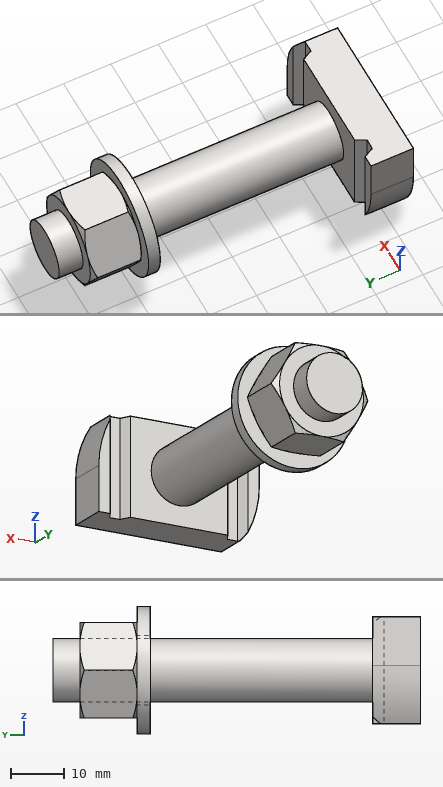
import cadquery as cq
import math

TOTAL_LENGTH = 69.0

HEAD_WIDTH = 34.5
HEAD_HEIGHT = 20.15
HEAD_DEPTH = 9.0
ROUND_START = 0.9
ROUND_CORNER_X = 14.0

GROOVE_OFFSET = 12.6
GROOVE_MOUTH = 4.35
GROOVE_FLOOR = 2.15
GROOVE_DEPTH = 2.1

SHANK_DIAMETER = 12.0
WASHER_DIAMETER = 24.0
WASHER_HOLE_DIAMETER = 13.0
WASHER_THICKNESS = 2.5
NUT_ACROSS_FLATS = 18.0
NUT_HEIGHT = 10.75
HEX_HALF_ANGLE = math.pi / 6
NUT_CHAMFER_ANGLE = 30.0
SHANK_PROTRUSION = 5.05

NUT_START = TOTAL_LENGTH - SHANK_PROTRUSION - NUT_HEIGHT
WASHER_START = NUT_START - WASHER_THICKNESS


def sketch_at(y):
    """Workplane across the bolt axis: local x is X, local y is Z, and the normal is -Y."""
    return cq.Workplane("XZ", origin=(0, y, 0))


def rod(start, length, diameter):
    return sketch_at(start).circle(diameter / 2).extrude(-length)


def head_block():
    """Rectangular head with two opposite rounded corners, alike under a half turn."""
    half_width = HEAD_WIDTH / 2
    half_height = HEAD_HEIGHT / 2
    rise = half_height + ROUND_START
    run = half_width - ROUND_CORNER_X
    radius = (rise**2 + run**2) / (2 * run)
    half_angle = math.asin(rise / radius) / 2
    mid_x = half_width - radius * (1 - math.cos(half_angle))
    mid_z = radius * math.sin(half_angle) - ROUND_START
    return (
        sketch_at(0)
        .moveTo(-half_width, half_height)
        .lineTo(-half_width, ROUND_START)
        .threePointArc((-mid_x, -mid_z), (-ROUND_CORNER_X, -half_height))
        .lineTo(half_width, -half_height)
        .lineTo(half_width, -ROUND_START)
        .threePointArc((mid_x, mid_z), (ROUND_CORNER_X, half_height))
        .close()
        .extrude(-HEAD_DEPTH)
    )


def head_groove(center_x):
    """Tapered groove cutter over the full height of the head."""
    floor_y = HEAD_DEPTH - GROOVE_DEPTH
    return (
        cq.Workplane("XY")
        .polyline([
            (center_x - GROOVE_MOUTH / 2, HEAD_DEPTH),
            (center_x - GROOVE_FLOOR / 2, floor_y),
            (center_x + GROOVE_FLOOR / 2, floor_y),
            (center_x + GROOVE_MOUTH / 2, HEAD_DEPTH),
        ])
        .close()
        .extrude(HEAD_HEIGHT / 2, both=True)
    )


def make_bolt():
    head = head_block()
    for side in (-1, 1):
        head = head.cut(head_groove(side * GROOVE_OFFSET))
    return head.union(rod(HEAD_DEPTH, TOTAL_LENGTH - HEAD_DEPTH, SHANK_DIAMETER))


def make_washer():
    disc = rod(WASHER_START, WASHER_THICKNESS, WASHER_DIAMETER)
    return disc.cut(rod(WASHER_START, WASHER_THICKNESS, WASHER_HOLE_DIAMETER))


def nut_chamfer_envelope():
    """Double-coned body of revolution that trims the nut's corners at both ends."""
    flat_radius = NUT_ACROSS_FLATS / 2
    corner_radius = flat_radius / math.cos(HEX_HALF_ANGLE)
    drop = (corner_radius - flat_radius) * math.tan(math.radians(NUT_CHAMFER_ANGLE))
    end = NUT_START + NUT_HEIGHT
    return (
        cq.Workplane("XY")
        .polyline([
            (0, NUT_START),
            (flat_radius, NUT_START),
            (corner_radius, NUT_START + drop),
            (corner_radius, end - drop),
            (flat_radius, end),
            (0, end),
        ])
        .close()
        .revolve(360, (0, 0, 0), (0, 1, 0))
    )


def make_nut():
    """Hexagonal nut with corners on the X axis, fitted closely on the shank."""
    across_corners = NUT_ACROSS_FLATS / math.cos(HEX_HALF_ANGLE)
    hexagon = sketch_at(NUT_START).polygon(6, across_corners).extrude(-NUT_HEIGHT)
    bore = rod(NUT_START, NUT_HEIGHT, SHANK_DIAMETER)
    return hexagon.intersect(nut_chamfer_envelope()).cut(bore)


bolt = make_bolt()
washer = make_washer()
nut = make_nut()

result = cq.Compound.makeCompound([bolt.val(), washer.val(), nut.val()])